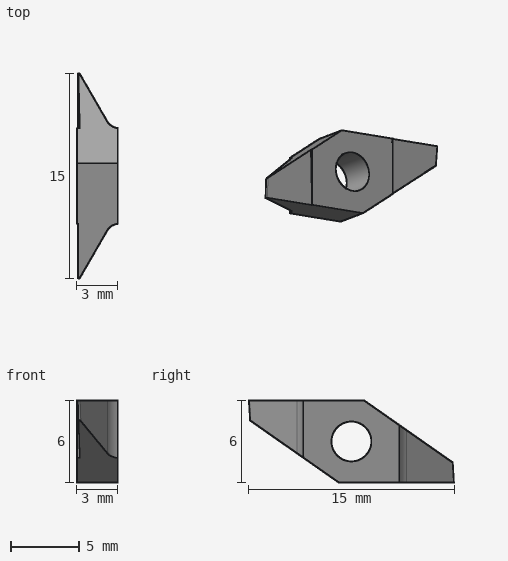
import math

import cadquery as cq

thickness = 3.0
length = 15.0
height = 6.0

flat_end = 0.93
slope_angle = 35.0

hole_diameter = 2.9

body_half_length = 3.5
edge_step = 0.07
side_relief_angle = 2.0
flank_angle = 30.0
nose_radius = 0.08
root_radius = 1.0

clearance = 1.0

half_thickness = thickness / 2
half_length = length / 2
half_height = height / 2
edge_x = edge_step - half_thickness
flank_run = math.tan(math.radians(flank_angle))

nose_setback = nose_radius * (1 / math.tan(math.radians(flank_angle / 2)) - 1)
sharp_tip_y = half_length + nose_setback


def flank_x(y):
    """X position of the flank at a distance y from the middle."""
    return edge_x + (sharp_tip_y - y) * flank_run


def side_outline():
    """Parallelogram-like body with sloping edges, spanning the full thickness."""
    reach = sharp_tip_y + clearance
    drop = (reach - flat_end) * math.tan(math.radians(slope_angle))
    points = [
        (-reach, half_height),
        (flat_end, half_height),
        (reach, half_height - drop),
        (reach, -half_height),
        (-flat_end, -half_height),
        (-reach, drop - half_height),
    ]
    return (
        cq.Workplane("YZ")
        .polyline(points)
        .close()
        .extrude(half_thickness, both=True)
    )


def pointed_end():
    """Half of the insert tapering to the -Y nose, with its cutting edge on the top plane."""
    bend = math.radians(90 - flank_angle)
    root_start_y = body_half_length + root_radius * (1 - math.cos(bend))
    root_start_x = flank_x(root_start_y)
    root_centre_x = root_start_x + root_radius * math.sin(bend)
    root_centre_y = body_half_length + root_radius
    edge_angle = math.asin((root_centre_x - half_thickness) / root_radius)
    root_end_y = root_centre_y - root_radius * math.cos(edge_angle)
    mid_angle = (edge_angle + bend) / 2
    root_mid = (
        root_centre_x - root_radius * math.sin(mid_angle),
        root_radius * math.cos(mid_angle) - root_centre_y,
    )
    prism = (
        cq.Workplane("XY", origin=(0, 0, -half_height))
        .moveTo(-half_thickness, 0)
        .lineTo(half_thickness, 0)
        .lineTo(half_thickness, -root_end_y)
        .threePointArc(root_mid, (root_start_x, -root_start_y))
        .lineTo(flank_x(sharp_tip_y + clearance), -sharp_tip_y - clearance)
        .lineTo(-half_thickness - clearance, -sharp_tip_y - clearance)
        .lineTo(-half_thickness - clearance, -body_half_length)
        .lineTo(-half_thickness, -body_half_length)
        .close()
        .extrude(height)
    )
    relief_shift = height * math.tan(math.radians(side_relief_angle))
    relief = (
        cq.Workplane("XZ", origin=(0, -body_half_length, 0))
        .moveTo(edge_x, half_height)
        .lineTo(edge_x + relief_shift, -half_height)
        .lineTo(-thickness, -half_height)
        .lineTo(-thickness, half_height)
        .close()
        .extrude(length)
    )
    pointed = prism.cut(relief)
    return pointed.edges("<Y").fillet(nose_radius)


near_end = pointed_end()
far_end = near_end.rotate((0, 0, 0), (1, 0, 0), 180)
hole = (
    cq.Workplane("YZ")
    .circle(hole_diameter / 2)
    .extrude(thickness, both=True)
)

result = side_outline().intersect(near_end.union(far_end)).cut(hole)